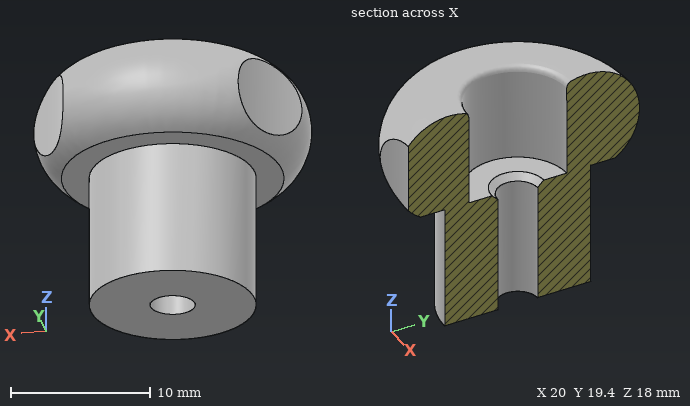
import cadquery as cq
import math

stem_radius = 6.0
stem_height = 10.0

total_height = 18.0
head_radius = 10.0
head_base_radius = 8.0
head_height = total_height - stem_height

base_inset = head_radius - head_base_radius
bulge_radius = base_inset + head_height - math.sqrt(2 * base_inset * head_height)
bulge_center_radius = head_radius - bulge_radius
bulge_center_z = total_height - bulge_radius

socket_radius = 4.0
socket_floor_z = stem_height
rim_fillet = 0.5

hole_radius = 3.24 / 2
hole_chamfer = 0.5

scallop_count = 3
scallop_radius = 15.0
scallop_floor_distance = 9.0
first_scallop_angle = 30.0


def bulge_height(radius):
    """Height of the head's upper surface at a distance from the Z axis."""
    offset = radius - bulge_center_radius
    return bulge_center_z + math.sqrt(bulge_radius**2 - offset**2)


def make_body():
    """Stem and head with the open socket, revolved as one solid about the Z axis."""
    profile = (
        cq.Workplane("XZ")
        .moveTo(0, 0)
        .lineTo(stem_radius, 0)
        .lineTo(stem_radius, stem_height)
        .lineTo(head_base_radius, stem_height)
        .threePointArc((head_radius, bulge_center_z), (socket_radius, bulge_height(socket_radius)))
        .lineTo(socket_radius, socket_floor_z)
        .lineTo(0, socket_floor_z)
        .close()
    )
    return profile.revolve(360, (0, 0, 0), (0, 1, 0))


def round_rim(body):
    """Round the edge between the socket wall and the top of the head."""
    rim_z = bulge_height(socket_radius)
    rim = cq.selectors.NearestToPointSelector((0, 0, rim_z))
    return body.edges(rim).fillet(rim_fillet)


def cut_screw_hole(body):
    """Drill the screw hole through the stem and chamfer its upper edge."""
    drill = cq.Workplane("XY").circle(hole_radius).extrude(socket_floor_z)
    chamfer_cone = cq.Solid.makeCone(
        hole_radius,
        hole_radius + hole_chamfer,
        hole_chamfer,
        pnt=cq.Vector(0, 0, socket_floor_z - hole_chamfer),
    )
    return body.cut(drill).cut(cq.Workplane(chamfer_cone))


def cut_scallops(body):
    """Cut the concave finger scallops into the side of the head."""
    axis_distance = scallop_floor_distance + scallop_radius
    for index in range(scallop_count):
        angle = math.radians(first_scallop_angle + index * 360.0 / scallop_count)
        center = (axis_distance * math.cos(angle), axis_distance * math.sin(angle))
        cutter = cq.Workplane("XY").center(*center).circle(scallop_radius).extrude(total_height)
        body = body.cut(cutter)
    return body


body = round_rim(make_body())
body = cut_screw_hole(body)
result = cut_scallops(body)